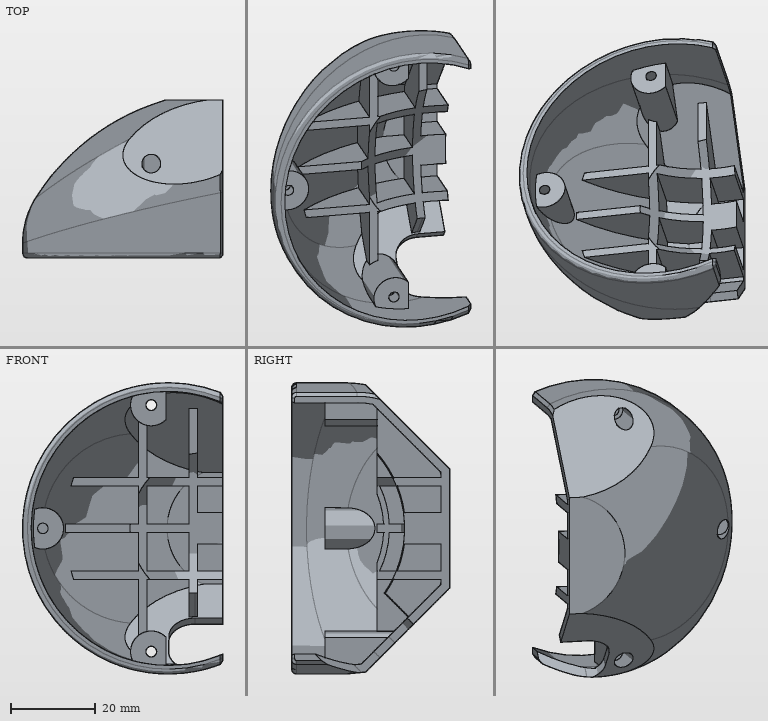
import cadquery as cq
import math

outer_radius = 34.5
wall = 2.1
depth = 37.5
side_x = 13.0
axis_end = 69.0

dome_x = 14.2
dome_y = -14.2
dome_radius = 53.75
dome_blend = 20.0

slope_sum = 51.55

rim_round = 1.2
side_round = 0.7

boss_radius = 4.9
boss_front_y = 7.9
boss_flat_x = -0.5
side_boss_x = -4.0
side_boss_z = 29.2
left_boss_x = -29.7
screw_hole_diameter = 2.5
counterbore_diameter = 4.4
counterbore_floor_y = 12.4
blind_hole_depth = 3.45

rib_thickness = 2.0
rib_front_y = 20.2
long_rib_x = -6.04
short_rib_x = 5.9
cross_rib_pitch = 11.05
pad_half_height = 3.7

ball_x = 9.0
ball_radius = 27.05

notch_left_x = 0.15
notch_top = -4.35
notch_bottom_left = 10.6
notch_bottom_slope = 0.5
notch_corner = 6.2
notch_reach = 13.8
notch_lip = 0.5


def y_cylinder(x, z, radius, y_start, y_end):
    """Cylinder along Y between two Y positions."""
    circle = cq.Workplane("XZ", origin=(x, y_start, z)).circle(radius)
    return circle.extrude(y_start - y_end)


def box(x_range, y_range, z_range):
    """Box spanning the given (low, high) pairs."""
    lows, highs = zip(x_range, y_range, z_range)
    sizes = [high - low for low, high in zip(lows, highs)]
    return cq.Workplane("XY").box(*sizes, centered=False).translate(lows)


def domed_body(inset):
    """Domed plug whose curved and sloped faces lie `inset` inside the outer skin."""
    dome = cq.Workplane("XY").sphere(dome_radius - inset).translate((dome_x, dome_y, 0))
    plug = y_cylinder(0, 0, outer_radius - inset, 0, axis_end).intersect(dome)
    plug = plug.edges(">Y").fillet(dome_blend - inset)
    top_y = depth - inset
    slope = slope_sum - inset * math.sqrt(2)
    outline = [
        (0, slope),
        (0, -slope),
        (top_y, top_y - slope),
        (top_y, slope - top_y),
    ]
    profile = cq.Workplane("YZ", origin=(-axis_end, 0, 0)).polyline(outline).close()
    return plug.intersect(profile.extrude(axis_end + side_x))


def outer_body():
    """Outer skin as a solid, with its rim and the edges of its flat side eased."""
    body = domed_body(0).faces("<Y").edges("not >X").fillet(rim_round)
    near_side = (side_x - side_round / 2, side_x + side_round / 2)
    slope_start_y = slope_sum - outer_radius
    wall_z = outer_radius - 5.5
    upper = cq.selectors.BoxSelector(
        (near_side[0], -0.7, wall_z), (near_side[1], slope_start_y + 1.4, axis_end)
    )
    lower = cq.selectors.BoxSelector(
        (near_side[0], -0.7, -axis_end), (near_side[1], slope_start_y + 1.4, -wall_z)
    )
    return body.edges(upper + lower).chamfer(side_round)


def notch(clearance):
    """Notch tool square to the lower sloped flat, grown outward by `clearance`."""
    flat_y = slope_sum / 2
    flat = cq.Plane(origin=(0, flat_y, -flat_y), xDir=(1, 0, 0), normal=(0, 1, -1))
    left = notch_left_x - clearance
    top = notch_top - clearance
    right = 2 * side_x
    outline = [
        (left, top),
        (right, top),
        (right, notch_bottom_left + notch_bottom_slope * right),
        (left, notch_bottom_left + notch_bottom_slope * left),
    ]
    tool = cq.Workplane(flat).workplane(offset=-notch_reach).polyline(outline).close()
    tool = tool.extrude(2 * notch_reach)
    return tool.edges("<X and #(0,1,1)").fillet(notch_corner + clearance)


def ribs(cavity):
    """Crossing ribs and the middle pad, hollowed by the ball and cut clear of the notch."""
    half = rib_thickness / 2
    tall = (rib_front_y, depth)
    span = (-side_boss_z, side_boss_z)
    grid = box((long_rib_x - half, long_rib_x + half), tall, span)
    grid = grid.union(box((short_rib_x - half, short_rib_x + half), tall, span))
    for row in (-1, 0, 1):
        z = row * cross_rib_pitch
        grid = grid.union(box((-outer_radius, side_x), tall, (z - half, z + half)))
    pad = box((short_rib_x, side_x), tall, (-pad_half_height, pad_half_height))
    ball = cq.Workplane("XY").sphere(ball_radius).translate((ball_x, 0, 0))
    return grid.union(pad).cut(ball).cut(notch(notch_lip)).intersect(cavity)


def bosses(cavity):
    """Three screw bosses standing on the skin, two of them flattened."""
    posts = y_cylinder(left_boss_x, 0, boss_radius, boss_front_y, depth)
    flat = box((boss_flat_x, axis_end), (0, depth), (-axis_end, axis_end))
    for z in (-side_boss_z, side_boss_z):
        post = y_cylinder(side_boss_x, z, boss_radius, boss_front_y, depth)
        posts = posts.union(post.cut(flat))
    return posts.intersect(cavity)


cavity = domed_body(wall)
shell = outer_body().cut(cavity).cut(notch(0))
result = shell.union(ribs(cavity)).union(bosses(cavity))

for x, z in ((left_boss_x, 0), (side_boss_x, -side_boss_z), (side_boss_x, side_boss_z)):
    counterbore = y_cylinder(x, z, counterbore_diameter / 2, counterbore_floor_y, axis_end)
    hole_end = boss_front_y + blind_hole_depth if z == 0 else counterbore_floor_y
    screw_hole = y_cylinder(x, z, screw_hole_diameter / 2, 0, hole_end)
    result = result.cut(counterbore).cut(screw_hole)